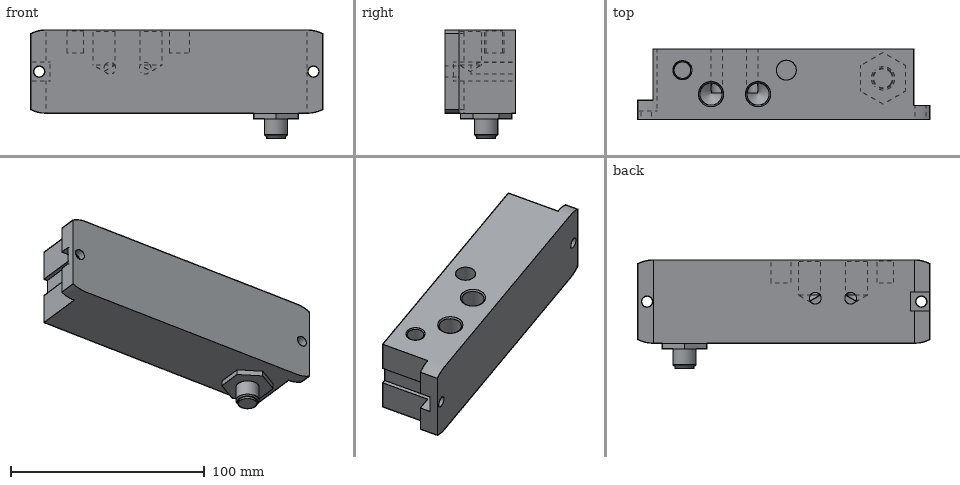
import cadquery as cq
import math

LENGTH = 150.6
DEPTH = 36.5
HEIGHT = 43.0
LEFT_FLANGE_LENGTH = 7.8
RIGHT_FLANGE_LENGTH = 8.1
LEFT_FLANGE_THICKNESS = 10.0
RIGHT_FLANGE_THICKNESS = 7.2
FLANGE_CORNER_DROP = 2.0

MOUNT_DIAMETER = 5.5
LEFT_MOUNT_INSET = 4.4
RIGHT_MOUNT_INSET = 4.8
MID_Z = HEIGHT / 2

GROOVE_WIDTH = 10.0
GROOVE_WEB = 4.4
GROOVE_DEPTH_IN_BLOCK = 2.1

REAR_HOLE_Y = 25.5
REAR_HOLE_DEPTH = 12.0
SMALL_HOLE_X = 23.0
SMALL_HOLE_DIAMETER = 8.6
SMALL_HOLE_MOUTH = 9.8
PLAIN_HOLE_X = 76.7
PLAIN_HOLE_DIAMETER = 10.2

PORT_XS = (37.8, 62.0)
PORT_Y = 13.1
PORT_DIAMETER = 11.5
PORT_MOUTH = 13.0
PORT_DEPTH = 18.0
DRILL_POINT_ANGLE = 118.0
DUCT_DIAMETER = 6.0
DUCT_END_Y = 13.5
DUCT_RISE = 0.5

CONNECTOR_X = 126.5
CONNECTOR_Y = 21.2
HEX_SIDES = 6
HEX_ACROSS_FLATS = 23.0
HEX_THICKNESS = 2.9
BARREL_DIAMETER = 12.0
BARREL_LENGTH = 8.9
BARREL_BEVEL = 0.8
TIP_DIAMETER = 9.8
CONNECTOR_LENGTH = 13.0


def box(x_range, y_range, z_range):
    """Box filling the given (low, high) range along each axis."""
    size = [high - low for low, high in (x_range, y_range, z_range)]
    corner = (x_range[0], y_range[0], z_range[0])
    return cq.Workplane("XY").box(*size, centered=False).translate(corner)


def flange(end_x, block_x, thickness):
    """End flange whose top and bottom edges curve in, tangent to the block at block_x."""
    reach = abs(end_x - block_x)
    radius = (reach**2 + FLANGE_CORNER_DROP**2) / (2 * FLANGE_CORNER_DROP)
    toward_end = math.copysign(1, end_x - block_x)
    half_angle = math.asin(reach / radius) / 2
    mid_x = block_x + toward_end * radius * math.sin(half_angle)
    mid_drop = radius * (1 - math.cos(half_angle))
    return (
        cq.Workplane("XZ")
        .moveTo(block_x, 0)
        .threePointArc((mid_x, mid_drop), (end_x, FLANGE_CORNER_DROP))
        .lineTo(end_x, HEIGHT - FLANGE_CORNER_DROP)
        .threePointArc((mid_x, HEIGHT - mid_drop), (block_x, HEIGHT))
        .close()
        .extrude(-thickness)
    )


def top_hole(x, y, diameter, mouth_diameter, depth):
    """Flat-bottomed hole from the top face; a mouth wider than the bore is countersunk at 45 degrees."""
    radius = diameter / 2
    bevel = (mouth_diameter - diameter) / 2
    hole = cq.Workplane("XY", origin=(x, y, HEIGHT - depth)).circle(radius).extrude(depth)
    if bevel > 0:
        mouth = cq.Solid.makeCone(radius, radius + bevel, bevel, cq.Vector(x, y, HEIGHT - bevel))
        hole = hole.union(cq.Workplane(mouth))
    return hole


def port(x, duct_side):
    """Port with a drill-point bottom; its duct lies on the +X (1) or -X (-1) side of the axis."""
    radius = PORT_DIAMETER / 2
    point_height = radius / math.tan(math.radians(DRILL_POINT_ANGLE / 2))
    point_z = HEIGHT - PORT_DEPTH - point_height
    point = cq.Solid.makeCone(0, radius, point_height, cq.Vector(x, PORT_Y, point_z))
    duct_x = x + duct_side * DUCT_DIAMETER / 2
    duct_z = point_z + point_height * DUCT_RISE
    duct = (
        cq.Workplane("XZ", origin=(duct_x, DEPTH, duct_z))
        .circle(DUCT_DIAMETER / 2)
        .extrude(DEPTH - DUCT_END_Y)
    )
    bore = top_hole(x, PORT_Y, PORT_DIAMETER, PORT_MOUTH, PORT_DEPTH)
    return bore.union(cq.Workplane(point)).union(duct)


def connector():
    """Connector hanging from the bottom face, its hexagon flats facing along X."""
    base = cq.Workplane("XY", origin=(CONNECTOR_X, CONNECTOR_Y, 0))
    across_corners = HEX_ACROSS_FLATS / math.cos(math.pi / HEX_SIDES)
    hexagon = (
        base.transformed(rotate=(0, 0, 90))
        .polygon(HEX_SIDES, across_corners)
        .extrude(-HEX_THICKNESS)
    )
    barrel = (
        base.circle(BARREL_DIAMETER / 2)
        .extrude(-HEX_THICKNESS - BARREL_LENGTH)
        .faces("<Z")
        .chamfer(BARREL_BEVEL)
    )
    tip = base.circle(TIP_DIAMETER / 2).extrude(-CONNECTOR_LENGTH)
    return hexagon.union(barrel).union(tip)


block_left = LEFT_FLANGE_LENGTH
block_right = LENGTH - RIGHT_FLANGE_LENGTH
body = box((block_left, block_right), (0, DEPTH), (0, HEIGHT))
body = body.union(flange(0, block_left, LEFT_FLANGE_THICKNESS))
body = body.union(flange(LENGTH, block_right, RIGHT_FLANGE_THICKNESS))

groove = box(
    (0, block_left + GROOVE_DEPTH_IN_BLOCK),
    (GROOVE_WEB, DEPTH),
    (MID_Z - GROOVE_WIDTH / 2, MID_Z + GROOVE_WIDTH / 2),
)
body = body.cut(groove)

for mount_x, thickness in (
    (LEFT_MOUNT_INSET, LEFT_FLANGE_THICKNESS),
    (LENGTH - RIGHT_MOUNT_INSET, RIGHT_FLANGE_THICKNESS),
):
    mount_hole = (
        cq.Workplane("XZ", origin=(mount_x, 0, MID_Z))
        .circle(MOUNT_DIAMETER / 2)
        .extrude(-thickness)
    )
    body = body.cut(mount_hole)

body = body.cut(
    top_hole(SMALL_HOLE_X, REAR_HOLE_Y, SMALL_HOLE_DIAMETER, SMALL_HOLE_MOUTH, REAR_HOLE_DEPTH)
)
body = body.cut(
    top_hole(PLAIN_HOLE_X, REAR_HOLE_Y, PLAIN_HOLE_DIAMETER, PLAIN_HOLE_DIAMETER, REAR_HOLE_DEPTH)
)
for port_x, duct_side in zip(PORT_XS, (1, -1)):
    body = body.cut(port(port_x, duct_side))

result = body.union(connector())